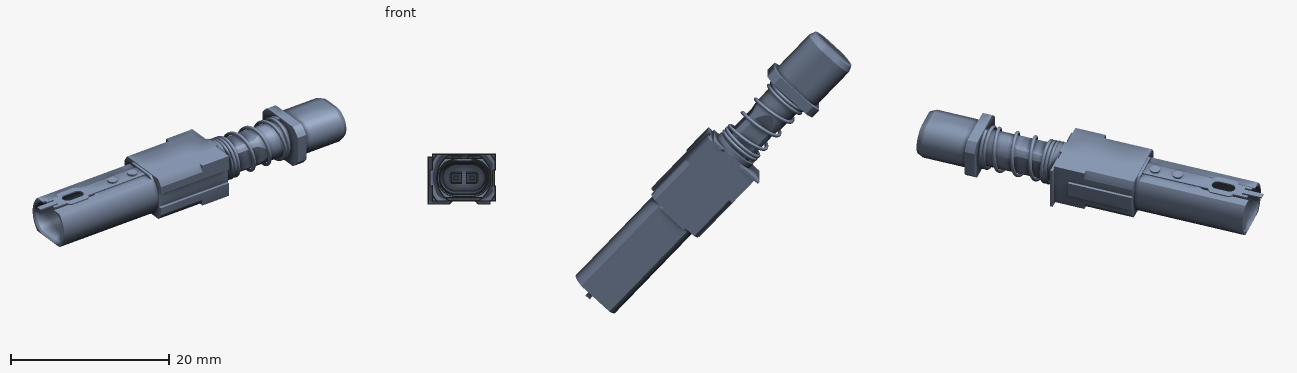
import cadquery as cq
import math


TONGUE_TIP_Y = 0.0
SHELL_FRONT_Y = 1.45
SHELL_BACK_Y = 15.7
HOUSING_FRONT_Y = 16.05
ROUNDED_EDGES_BACK_Y = 22.45
RIB_BACK_Y = 24.55
PLATE_FRONT_Y = 26.55
PLATE_BACK_Y = 26.85
COLLAR_BACK_Y = 27.55
FLAT_BACK_Y = 32.3
FLAT_RAMP_END_Y = 33.95
FLANGE_FRONT_Y = 37.3
FLANGE_BACK_Y = 38.6
PLUG_BACK_Y = 45.3

PLUG_WIDTH = 6.95
PLUG_HEIGHT = 5.0
PLUG_CHAMFER_LENGTH = 0.72
PLUG_CHAMFER_DEPTH = 0.3
FLANGE_WIDTH = 7.75
FLANGE_HEIGHT = 5.8
FLANGE_CORNER = 1.1
FLANGE_CORNER_BULGE = 0.07

SHAFT_RADIUS = 2.35
FLAT_DISTANCE = 1.95
COLLAR_RADIUS = 2.85
WIRE_RADIUS = 0.23
COIL_RADIUS = 2.65
CLOSED_PITCH = 0.5
BACK_CLOSED_TURNS = 1.75
ACTIVE_TURNS = 3.0
FRONT_CLOSED_TURNS = 2.5
WIRE_OVERLAP = 0.05
POINTS_PER_TURN = 16

HOUSING_WIDTH = 7.97
HOUSING_TOP_Z = 3.0
HOUSING_BOTTOM_Z = -2.9
HOUSING_ROUND_RADIUS = 4.5
RIB_HEIGHT = 2.05
RIB_DEPTH = 0.3
GROOVE_DEPTH = 0.35
PLATE_LEFT_X = -4.55
PLATE_RIGHT_X = 3.3
PLATE_TOP_Z = 2.65
PLATE_BOTTOM_Z = -3.3
NOTCH_WIDTH = 3.65
NOTCH_SLOPE = 0.45
TAB_WIDTH = 2.0

SHELL_RADIUS = 3.45
SHELL_FLAT_Z = 2.45
LIP_FLAT_Z = 2.85
BORE_CENTRE_X = 1.0
BORE_MOUTH_RADIUS = 2.35
BORE_FRONT_RADIUS = 2.17
BORE_MIDDLE_RADIUS = 2.05
BORE_BACK_RADIUS = 1.68
BORE_CHAMFER_LENGTH = 0.25
BORE_FUNNEL_LENGTH = 0.9

CONTACT_INNER_X = 0.3
PIN_HOLE_X = 1.0
CONTACT_POCKET = (1.45, 1.45)
CONTACT_CORNER = 0.25
CONTACT_POCKET_DEPTH = 0.45
CONTACT_SEAT = (1.25, 1.15)
CONTACT_SEAT_DEPTH = 0.9
PIN_HOLE_SIZE = 0.5
PIN_HOLE_DEPTH = 1.8

TONGUE_TOP_Z = 2.65
TONGUE_HALF_WIDTH = 1.0
HEAD_HALF_WIDTH = 1.55
HEAD_FRONT_Y = 3.62
HEAD_BACK_Y = 6.85
HEAD_SLOPE = 0.3
TONGUE_SHOULDER_Y = 1.7
TIP_WIDTH = 0.72
SLIT_WIDTH = 0.25
SLIT_BACK_Y = 2.6
WINDOW_WIDTH = 1.45
WINDOW_LENGTH = 3.1
BUMP_RADIUS = 0.65
BUMP_TOP_Z = 2.9
BUMP_PLACES_Y = (11.35, 14.4)
RELIEF_WIDTH = 2.5
RELIEF_BACK_Y = 8.0
RELIEF_CORNER = 0.23
RELIEF_FLOOR_Z = 1.8


def facing_y(y):
    """Workplane across the long axis at height y; local x is X, local y is Z."""
    return cq.Workplane("XZ", origin=(0, y, 0))


def block(x_range, y_range, z_range):
    size = [high - low for low, high in (x_range, y_range, z_range)]
    corner = (x_range[0], y_range[0], z_range[0])
    return cq.Workplane("XY").box(*size, centered=False).translate(corner)


def cylinder(radius, y_front, y_back):
    return facing_y(y_back).circle(radius).extrude(y_back - y_front)


def flatted_cylinder(radius, flat_z, y_front, y_back):
    flats = block((-radius, radius), (y_front, y_back), (-flat_z, flat_z))
    return cylinder(radius, y_front, y_back).intersect(flats)


def stadium_loft(centre_x, start_radius, start_y, end_radius, end_y):
    def slot(plane, radius):
        return plane.slot2D(2 * (centre_x + radius), 2 * radius)

    plane = slot(facing_y(start_y), start_radius)
    return slot(plane.workplane(offset=start_y - end_y), end_radius).loft(combine=True)


def rear_plug():
    radius = PLUG_HEIGHT / 2
    centre_x = PLUG_WIDTH / 2 - radius
    chamfer_y = PLUG_BACK_Y - PLUG_CHAMFER_LENGTH
    body = stadium_loft(centre_x, radius, chamfer_y, radius, FLANGE_BACK_Y)
    nose = stadium_loft(centre_x, radius - PLUG_CHAMFER_DEPTH, PLUG_BACK_Y, radius, chamfer_y)
    return body.union(nose)


def flange():
    """Rectangular flange whose corners are replaced by shallow arcs."""
    side_x = FLANGE_WIDTH / 2
    top_z = FLANGE_HEIGHT / 2
    flat_x = side_x - FLANGE_CORNER
    flat_z = top_z - FLANGE_CORNER
    bulge = FLANGE_CORNER_BULGE * math.sqrt(0.5)
    mid_x = (side_x + flat_x) / 2 + bulge
    mid_z = (top_z + flat_z) / 2 + bulge
    outline = (
        facing_y(FLANGE_BACK_Y)
        .moveTo(-flat_x, top_z)
        .lineTo(flat_x, top_z)
        .threePointArc((mid_x, mid_z), (side_x, flat_z))
        .lineTo(side_x, -flat_z)
        .threePointArc((mid_x, -mid_z), (flat_x, -top_z))
        .lineTo(-flat_x, -top_z)
        .threePointArc((-mid_x, -mid_z), (-side_x, -flat_z))
        .lineTo(-side_x, flat_z)
        .threePointArc((-mid_x, mid_z), (-flat_x, top_z))
        .close()
    )
    return outline.extrude(FLANGE_BACK_Y - FLANGE_FRONT_Y)


def shaft():
    body = cylinder(SHAFT_RADIUS, COLLAR_BACK_Y, FLANGE_FRONT_Y)
    flat = (
        cq.Workplane("YZ")
        .moveTo(COLLAR_BACK_Y, FLAT_DISTANCE)
        .lineTo(FLAT_BACK_Y, FLAT_DISTANCE)
        .lineTo(FLAT_RAMP_END_Y, SHAFT_RADIUS)
        .lineTo(COLLAR_BACK_Y, SHAFT_RADIUS)
        .close()
        .extrude(SHAFT_RADIUS, both=True)
    )
    for angle in (0, 90, 180, 270):
        body = body.cut(flat.rotate((0, 0, 0), (0, 1, 0), angle))
    return body.union(cylinder(COLLAR_RADIUS, PLATE_FRONT_Y, COLLAR_BACK_Y))


def spring():
    """Spring with closed end coils that sink slightly into the flange and the collar."""
    closed_turns = BACK_CLOSED_TURNS + FRONT_CLOSED_TURNS
    total_turns = closed_turns + ACTIVE_TURNS
    start_y = FLANGE_FRONT_Y - WIRE_RADIUS + WIRE_OVERLAP
    end_y = COLLAR_BACK_Y + WIRE_RADIUS - WIRE_OVERLAP
    active_pitch = (start_y - end_y - CLOSED_PITCH * closed_turns) / ACTIVE_TURNS

    def coil_point(turn):
        active = min(max(turn - BACK_CLOSED_TURNS, 0), ACTIVE_TURNS)
        y = start_y - CLOSED_PITCH * (turn - active) - active_pitch * active
        angle = 2 * math.pi * turn
        return cq.Vector(-COIL_RADIUS * math.sin(angle), y, COIL_RADIUS * math.cos(angle))

    steps = round(total_turns * POINTS_PER_TURN)
    points = [coil_point(total_turns * i / steps) for i in range(steps + 1)]
    path = cq.Edge.makeSpline(points)
    section = cq.Plane(origin=path.startPoint(), normal=path.tangentAt(0))
    return cq.Workplane(section).circle(WIRE_RADIUS).sweep(cq.Workplane(path), isFrenet=True)


def housing():
    half = HOUSING_WIDTH / 2
    z_range = (HOUSING_BOTTOM_Z, HOUSING_TOP_Z)
    front = block((-half, half), (HOUSING_FRONT_Y, ROUNDED_EDGES_BACK_Y), z_range)
    front = front.intersect(cylinder(HOUSING_ROUND_RADIUS, HOUSING_FRONT_Y, ROUNDED_EDGES_BACK_Y))
    back = block((-half, half), (ROUNDED_EDGES_BACK_Y, PLATE_FRONT_Y), z_range)
    side_z = (-RIB_HEIGHT / 2, RIB_HEIGHT / 2)
    rib = block((-half - RIB_DEPTH, 0), (HOUSING_FRONT_Y, RIB_BACK_Y), side_z)
    groove = block((half - GROOVE_DEPTH, half), (HOUSING_FRONT_Y, PLATE_FRONT_Y), side_z)
    return front.union(back).union(rib).cut(groove)


def back_plate():
    y_range = (PLATE_FRONT_Y, PLATE_BACK_Y)
    plate = block((PLATE_LEFT_X, PLATE_RIGHT_X), y_range, (PLATE_BOTTOM_Z, PLATE_TOP_Z))
    half_root = NOTCH_WIDTH / 2 - NOTCH_SLOPE
    half_mouth = NOTCH_WIDTH / 2
    for edge_z, root_z in (
        (PLATE_BOTTOM_Z, PLATE_BOTTOM_Z + NOTCH_SLOPE),
        (PLATE_TOP_Z, PLATE_TOP_Z - NOTCH_SLOPE),
    ):
        outline = [(-half_mouth, edge_z), (-half_root, root_z), (half_root, root_z), (half_mouth, edge_z)]
        notch = facing_y(PLATE_BACK_Y).polyline(outline).close()
        plate = plate.cut(notch.extrude(PLATE_BACK_Y - PLATE_FRONT_Y))
    tab = block((-TAB_WIDTH / 2, TAB_WIDTH / 2), y_range, (0, HOUSING_TOP_Z))
    return plate.union(tab)


def shell():
    body = flatted_cylinder(SHELL_RADIUS, SHELL_FLAT_Z, SHELL_FRONT_Y, HOUSING_FRONT_Y)
    return body.union(flatted_cylinder(SHELL_RADIUS, LIP_FLAT_Z, SHELL_BACK_Y, HOUSING_FRONT_Y))


def bore():
    """Stadium-shaped bore: chamfered mouth, slightly tapered middle and a funnel down to its floor."""
    sections = [
        (BORE_MOUTH_RADIUS, SHELL_FRONT_Y),
        (BORE_FRONT_RADIUS, SHELL_FRONT_Y + BORE_CHAMFER_LENGTH),
        (BORE_MIDDLE_RADIUS, SHELL_BACK_Y - BORE_FUNNEL_LENGTH),
        (BORE_BACK_RADIUS, SHELL_BACK_Y),
    ]
    body = cq.Workplane()
    for front, back in zip(sections, sections[1:]):
        body = body.union(stadium_loft(BORE_CENTRE_X, *back, *front))
    return body


def contact_opening(side):
    """Stepped opening on one side of the bore floor; side is -1 or 1."""

    def recess(size, depth, centre_x):
        plane = facing_y(SHELL_BACK_Y + depth).center(side * centre_x, 0)
        return plane.rect(*size).extrude(depth)

    outer = "<X" if side < 0 else ">X"
    pocket = recess(CONTACT_POCKET, CONTACT_POCKET_DEPTH, CONTACT_INNER_X + CONTACT_POCKET[0] / 2)
    pocket = pocket.edges("|Y").edges(outer).chamfer(CONTACT_CORNER)
    seat = recess(CONTACT_SEAT, CONTACT_SEAT_DEPTH, CONTACT_INNER_X + CONTACT_SEAT[0] / 2)
    pin_hole = recess((PIN_HOLE_SIZE, PIN_HOLE_SIZE), PIN_HOLE_DEPTH, PIN_HOLE_X)
    return pocket.union(seat).union(pin_hole)


def relief():
    """Opening in the upper wall of the shell below the free end of the tongue."""
    half = RELIEF_WIDTH / 2
    opening = block((-half, half), (SHELL_FRONT_Y, RELIEF_BACK_Y), (RELIEF_FLOOR_Z, SHELL_FLAT_Z))
    return opening.edges("|Z and >Y").chamfer(2 * RELIEF_CORNER, RELIEF_CORNER)


def tongue():
    thickness = TONGUE_TOP_Z - SHELL_FLAT_Z
    top = cq.Workplane("XY", origin=(0, 0, SHELL_FLAT_Z))
    half_tip = TIP_WIDTH / 2
    z_range = (SHELL_FLAT_Z, TONGUE_TOP_Z)
    strip = block((-TONGUE_HALF_WIDTH, TONGUE_HALF_WIDTH), (TONGUE_SHOULDER_Y, HOUSING_FRONT_Y), z_range)
    tip = block((-half_tip, half_tip), (TONGUE_TIP_Y, SLIT_BACK_Y), z_range)
    head = block((-HEAD_HALF_WIDTH, HEAD_HALF_WIDTH), (HEAD_FRONT_Y, HEAD_BACK_Y), z_range)
    head = head.edges("|Z").chamfer(HEAD_SLOPE)
    body = strip.union(tip).union(head)
    for slit_x in (-half_tip - SLIT_WIDTH, half_tip):
        body = body.cut(block((slit_x, slit_x + SLIT_WIDTH), (TONGUE_SHOULDER_Y, SLIT_BACK_Y), z_range))
    window = top.center(0, (HEAD_FRONT_Y + HEAD_BACK_Y) / 2)
    body = body.cut(window.slot2D(WINDOW_LENGTH, WINDOW_WIDTH, 90).extrude(thickness))
    bumps = top.pushPoints([(0, y) for y in BUMP_PLACES_Y]).circle(BUMP_RADIUS)
    return body.union(bumps.extrude(BUMP_TOP_Z - SHELL_FLAT_Z))


front_end = housing().union(back_plate()).union(shell()).cut(bore())
for contact_side in (-1, 1):
    front_end = front_end.cut(contact_opening(contact_side))
front_end = front_end.cut(relief()).union(tongue())

rear_end = rear_plug().union(flange()).union(shaft()).union(spring())
result = front_end.union(rear_end)